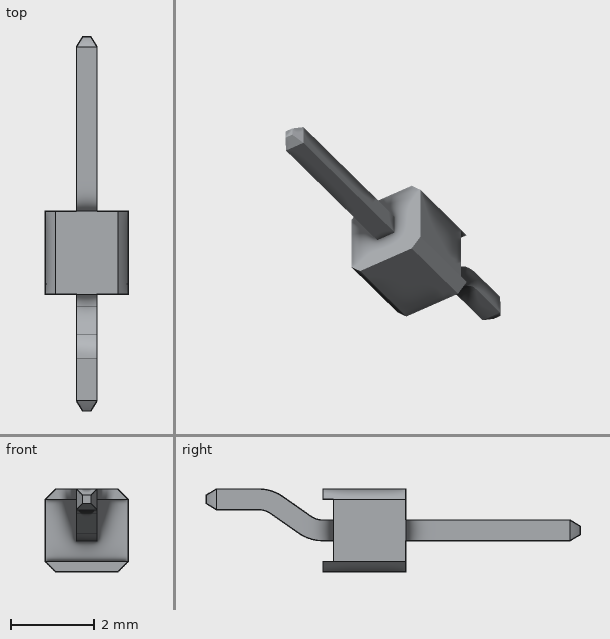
import cadquery as cq
import math

housing_size = 2.0
edge_chamfer = 0.25
recess_depth = 0.25

pin_size = 0.5
tip_length = 0.25
tip_end_size = 0.2
total_length = 9.0
front_reach = 2.81
bend_inner_radius = 0.5
bend_angle = math.radians(35)

half_housing = housing_size / 2
half_pin = pin_size / 2
front_face = -half_housing
front_end = front_face - front_reach
back_end = front_end + total_length
front_shoulder = front_end + tip_length
back_shoulder = back_end - tip_length
pin_rise = half_housing - half_pin

bend_radius = bend_inner_radius + half_pin
bend_rise = bend_radius * (1 - math.cos(bend_angle))
bend_run = bend_radius * math.sin(bend_angle)
ramp_run = (pin_rise - 2 * bend_rise) / math.tan(bend_angle)
joggle_end = front_face - 2 * bend_run - ramp_run


def make_housing():
    """Block with chamfers along Y and a front recess between top and bottom lips."""
    block = cq.Workplane("XY").box(housing_size, housing_size, housing_size)
    block = block.edges("|Y").chamfer(edge_chamfer)
    recess = cq.Workplane("XY").box(
        housing_size, recess_depth, housing_size - 2 * edge_chamfer
    )
    return block.cut(recess.translate((0, front_face + recess_depth / 2, 0)))


def lower_bend_point(offset, angle):
    """Point in (Y, Z) on the lower bend, offset upward from the centreline."""
    radius = bend_radius - offset
    return (front_face - radius * math.sin(angle), bend_radius - radius * math.cos(angle))


def upper_bend_point(offset, angle):
    """Point in (Y, Z) on the upper bend, offset upward from the centreline."""
    radius = bend_radius + offset
    return (
        joggle_end + radius * math.sin(angle),
        pin_rise - bend_radius + radius * math.cos(angle),
    )


def make_pin_bar():
    """Joggled bar between the two tip shoulders."""
    top = half_pin
    bottom = -half_pin
    half_angle = bend_angle / 2
    return (
        cq.Workplane("YZ")
        .moveTo(back_shoulder, top)
        .lineTo(front_face, top)
        .threePointArc(lower_bend_point(top, half_angle), lower_bend_point(top, bend_angle))
        .lineTo(*upper_bend_point(top, bend_angle))
        .threePointArc(upper_bend_point(top, half_angle), upper_bend_point(top, 0))
        .lineTo(front_shoulder, pin_rise + top)
        .lineTo(front_shoulder, pin_rise + bottom)
        .lineTo(*upper_bend_point(bottom, 0))
        .threePointArc(upper_bend_point(bottom, half_angle), upper_bend_point(bottom, bend_angle))
        .lineTo(*lower_bend_point(bottom, bend_angle))
        .threePointArc(lower_bend_point(bottom, half_angle), lower_bend_point(bottom, 0))
        .lineTo(back_shoulder, bottom)
        .close()
        .extrude(half_pin, both=True)
    )


def make_tip(shoulder, height, direction):
    """Square frustum from a shoulder outward along Y; direction is +1 or -1."""
    plane = cq.Plane(origin=(0, shoulder, height), xDir=(1, 0, 0), normal=(0, direction, 0))
    return (
        cq.Workplane(plane)
        .rect(pin_size, pin_size)
        .workplane(offset=tip_length)
        .rect(tip_end_size, tip_end_size)
        .loft(ruled=True)
    )


pin = make_pin_bar()
pin = pin.union(make_tip(front_shoulder, pin_rise, -1))
pin = pin.union(make_tip(back_shoulder, 0, 1))

result = make_housing().union(pin)